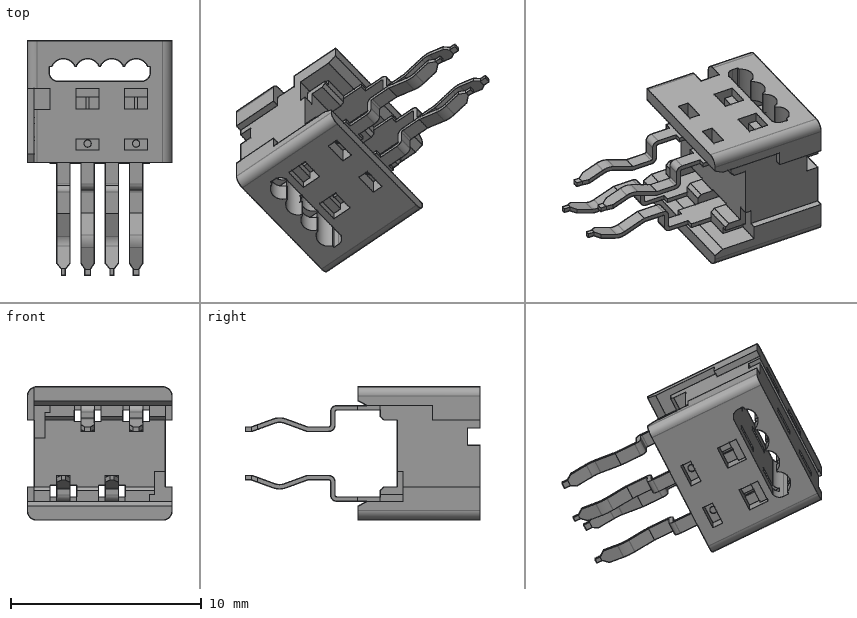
import cadquery as cq
import math


WIDTH = 7.59
HEIGHT = 7.0
HOUSING_DEPTH = 6.4
CORNER_RADIUS = 0.5
CORE_WIDTH = 6.88
CORE_DEPTH = 4.35
PLATE_THICKNESS = 0.99
PLATE_BEVEL_DEPTH = 0.47
PLATE_BEVEL_HEIGHT = 0.25
SKIRT_DEPTH = 2.5
SKIRT_HEIGHT = 0.76
LEDGE_DEPTH = 5.235
LEDGE_CHAMFER = 0.19

HALF_WIDTH = WIDTH / 2
HALF_CORE = CORE_WIDTH / 2
HALF_HEIGHT = HEIGHT / 2
PLATE_INNER_Z = HALF_HEIGHT - PLATE_THICKNESS
LEDGE_Z = PLATE_INNER_Z - SKIRT_HEIGHT

NOTCH_END_DEPTH = 3.6
NOTCH_INNER_X = -2.6
GROOVE_DEPTH = 0.66
GROOVE_BOTTOM_Z = 0.44
GROOVE_TOP_Z = 1.33

RECESS_DEPTH = 4.04
RECESS_WIDE = 0.84
RECESS_NARROW = 0.57
RECESS_STEP_Z = 2.14
UPPER_RECESS_END_Z = 0.8
LOWER_RECESS_END_Z = 0.94

PITCH = 1.27
CONTACT_COUNT = 4
OPENING_WIDTH = 5.29
OPENING_NEAR_DEPTH = 1.37
OPENING_FAR_DEPTH = 2.125
OPENING_CORNER_RADIUS = 0.45
WIRE_RADIUS = 0.65
WIRE_DEPTH = 1.605

UPPER_ROW_X = (-PITCH / 2, 1.5 * PITCH)
CHANNEL_WIDTH = 1.39
CHANNEL_BOTTOM_Z = 1.675
WINDOW_WIDTH = 1.21
REAR_WINDOW_START = 2.5
REAR_WINDOW_STEP = 2.96
REAR_WINDOW_END = 3.59
REAR_WINDOW_FLOOR_Z = 3.0
FRONT_WINDOW_START = 5.16
FRONT_WINDOW_END = 5.735

METAL = 0.24
BLADE_START = 2.5
BLADE_END = 6.43
FORK_SLIT_WIDTH = 0.15
FORK_SLIT_END = REAR_WINDOW_END
DIMPLE_RADIUS = 0.19
DIMPLE_CENTRE = 5.4
DIMPLE_SINK = 0.1
LEG_WIDTH = 0.7
KNEE_DEPTH = 7.72
KNEE_RADIUS = 0.21
FOOT_Z = PITCH
CREST_START = 9.05
CREST_DEPTH = 10.51
CREST_ANGLE = 20.0
CREST_RADIUS = 0.84
TAPER_START = 11.67
TAPER_END = 2 * CREST_DEPTH - CREST_START
TIP_DEPTH = 12.3
UPPER_TIP_WIDTH = 0.32
LOWER_TIP_WIDTH = 0.22


def block(x_range, depth_range, z_range):
    """Box between two X values, two depths from the rear face and two Z values."""
    size = [abs(b - a) for a, b in (x_range, depth_range, z_range)]
    centre_x, centre_depth, centre_z = [(a + b) / 2 for a, b in (x_range, depth_range, z_range)]
    return cq.Workplane("XY").box(*size).translate((centre_x, -centre_depth, centre_z))


def side_profile(points, width):
    """Outline of (depth, z) points, extruded symmetrically across X."""
    outline = [(-depth, z) for depth, z in points]
    return cq.Workplane("YZ").polyline(outline).close().extrude(width / 2, both=True)


def half_turn(shape):
    """Copy turned by 180 degrees about the Y axis, from the upper to the lower row."""
    return shape.rotate((0, 0, 0), (0, 1, 0), 180)


def plate_with_skirts_and_ledge():
    plate = side_profile(
        [
            (0, HALF_HEIGHT),
            (HOUSING_DEPTH, HALF_HEIGHT),
            (HOUSING_DEPTH, PLATE_INNER_Z + PLATE_BEVEL_HEIGHT),
            (HOUSING_DEPTH - PLATE_BEVEL_DEPTH, PLATE_INNER_Z),
            (0, PLATE_INNER_Z),
        ],
        WIDTH,
    )
    skirts = block((-HALF_WIDTH, HALF_WIDTH), (0, SKIRT_DEPTH), (LEDGE_Z, PLATE_INNER_Z))
    ledge = side_profile(
        [
            (0, PLATE_INNER_Z),
            (LEDGE_DEPTH, PLATE_INNER_Z),
            (LEDGE_DEPTH, LEDGE_Z + LEDGE_CHAMFER),
            (LEDGE_DEPTH - LEDGE_CHAMFER, LEDGE_Z),
            (0, LEDGE_Z),
        ],
        CORE_WIDTH,
    )
    return plate.union(skirts).union(ledge)


def corner_recess(end_z):
    """Stepped recess at the -X end of the upper row, open to the front and reaching down to end_z."""
    depths = (RECESS_DEPTH, LEDGE_DEPTH)
    wide = block((-HALF_CORE, RECESS_WIDE - HALF_CORE), depths, (RECESS_STEP_Z, PLATE_INNER_Z))
    narrow = block((-HALF_CORE, RECESS_NARROW - HALF_CORE), depths, (end_z, RECESS_STEP_Z))
    return wide.union(narrow)


def keying_cut():
    """Notch in the upper plate at -X, and the flush side in front of the skirt."""
    notch = block((-HALF_WIDTH, NOTCH_INNER_X), (SKIRT_DEPTH, NOTCH_END_DEPTH), (PLATE_INNER_Z, HALF_HEIGHT))
    flush_side = block((-HALF_WIDTH, -HALF_CORE), (SKIRT_DEPTH, HOUSING_DEPTH), (LEDGE_Z, HALF_HEIGHT))
    return notch.union(flush_side)


def wire_opening():
    """Through opening: a bar with two rounded corners and one round bay per wire."""
    opening = (
        block(
            (-OPENING_WIDTH / 2, OPENING_WIDTH / 2),
            (OPENING_NEAR_DEPTH, OPENING_FAR_DEPTH),
            (-HALF_HEIGHT, HALF_HEIGHT),
        )
        .edges("|Z and <Y")
        .fillet(OPENING_CORNER_RADIUS)
    )
    for i in range(CONTACT_COUNT):
        x = (i - (CONTACT_COUNT - 1) / 2) * PITCH
        bay = cq.Workplane("XY").center(x, -WIRE_DEPTH).circle(WIRE_RADIUS)
        opening = opening.union(bay.extrude(HALF_HEIGHT, both=True))
    beyond = block(
        (-HALF_WIDTH, HALF_WIDTH),
        (OPENING_FAR_DEPTH, WIRE_DEPTH + 2 * WIRE_RADIUS),
        (-HALF_HEIGHT, HALF_HEIGHT),
    )
    return opening.cut(beyond)


def contact_cavity(x):
    """Channel of one upper contact with the two windows above it."""
    channel_x = (x - CHANNEL_WIDTH / 2, x + CHANNEL_WIDTH / 2)
    window_x = (x - WINDOW_WIDTH / 2, x + WINDOW_WIDTH / 2)
    window_z = (PLATE_INNER_Z, HALF_HEIGHT)
    channel = block(channel_x, (0, LEDGE_DEPTH), (CHANNEL_BOTTOM_Z, PLATE_INNER_Z - METAL))
    blade_seat = block(channel_x, (BLADE_START, LEDGE_DEPTH), (PLATE_INNER_Z - METAL, PLATE_INNER_Z))
    shelf = block(window_x, (REAR_WINDOW_START, REAR_WINDOW_STEP), (REAR_WINDOW_FLOOR_Z, HALF_HEIGHT))
    rear_window = block(window_x, (REAR_WINDOW_STEP, REAR_WINDOW_END), window_z)
    front_window = block(window_x, (FRONT_WINDOW_START, FRONT_WINDOW_END), window_z)
    return channel.union(blade_seat).union(shelf).union(rear_window).union(front_window)


def make_housing():
    envelope = (
        cq.Workplane("XZ").rect(WIDTH, HEIGHT).extrude(HOUSING_DEPTH).edges("|Y").fillet(CORNER_RADIUS)
    )
    core = block((-HALF_CORE, HALF_CORE), (0, CORE_DEPTH), (-PLATE_INNER_Z, PLATE_INNER_Z))
    jaw = plate_with_skirts_and_ledge()
    long_skirt = block((HALF_CORE, HALF_WIDTH), (0, RECESS_DEPTH), (-PLATE_INNER_Z, -LEDGE_Z))
    housing = core.union(jaw).union(half_turn(jaw)).union(long_skirt).intersect(envelope)

    groove = block((-HALF_WIDTH, HALF_WIDTH), (0, GROOVE_DEPTH), (GROOVE_BOTTOM_Z, GROOVE_TOP_Z))
    housing = housing.cut(groove).cut(keying_cut()).cut(wire_opening())

    housing = housing.cut(corner_recess(UPPER_RECESS_END_Z))
    housing = housing.cut(half_turn(corner_recess(LOWER_RECESS_END_Z)))
    for x in UPPER_ROW_X:
        cavity = contact_cavity(x)
        housing = housing.cut(cavity).cut(half_turn(cavity))
    return housing


def leg_strip():
    """Bent strip in side view: blade plane, knee, foot and crest, at full leg width."""
    middle_z = PLATE_INNER_Z - METAL / 2
    angle = math.radians(CREST_ANGLE)
    rise = (CREST_DEPTH - CREST_START) * math.tan(angle)
    arc_centre_z = FOOT_Z + rise - CREST_RADIUS / math.cos(angle)
    arc_half_depth = CREST_RADIUS * math.sin(angle)
    arc_end_z = arc_centre_z + CREST_RADIUS * math.cos(angle)
    bend = KNEE_RADIUS * (1 - math.sqrt(0.5))

    centre_line = (
        cq.Workplane("YZ")
        .moveTo(-BLADE_END, middle_z)
        .lineTo(-(KNEE_DEPTH - KNEE_RADIUS), middle_z)
        .threePointArc(
            (-(KNEE_DEPTH - bend), middle_z - bend),
            (-KNEE_DEPTH, middle_z - KNEE_RADIUS),
        )
        .lineTo(-KNEE_DEPTH, FOOT_Z + KNEE_RADIUS)
        .threePointArc(
            (-(KNEE_DEPTH + bend), FOOT_Z + bend),
            (-(KNEE_DEPTH + KNEE_RADIUS), FOOT_Z),
        )
        .lineTo(-CREST_START, FOOT_Z)
        .lineTo(-(CREST_DEPTH - arc_half_depth), arc_end_z)
        .threePointArc(
            (-CREST_DEPTH, arc_centre_z + CREST_RADIUS),
            (-(CREST_DEPTH + arc_half_depth), arc_end_z),
        )
        .lineTo(-TAPER_END, FOOT_Z)
        .lineTo(-TIP_DEPTH, FOOT_Z)
    )
    start = cq.Workplane("XZ", origin=(0, -BLADE_END, middle_z)).rect(LEG_WIDTH, METAL)
    return start.sweep(centre_line, transition="right")


def leg_outline(tip_width):
    """Plan outline of the leg with its tapered tip, as a tall prism for trimming."""
    half_leg = LEG_WIDTH / 2
    half_tip = tip_width / 2
    return (
        cq.Workplane("XY")
        .polyline(
            [
                (-half_leg, -BLADE_END),
                (-half_leg, -TAPER_START),
                (-half_tip, -TAPER_END),
                (-half_tip, -TIP_DEPTH),
                (half_tip, -TIP_DEPTH),
                (half_tip, -TAPER_END),
                (half_leg, -TAPER_START),
                (half_leg, -BLADE_END),
            ]
        )
        .close()
        .extrude(HALF_HEIGHT)
    )


def make_contact(tip_width):
    """Upper contact centred on X = 0: forked blade with a dimple, and a bent leg."""
    half_blade = CHANNEL_WIDTH / 2
    half_slit = FORK_SLIT_WIDTH / 2
    blade_z = (PLATE_INNER_Z - METAL, PLATE_INNER_Z)
    blade = block((-half_blade, half_blade), (BLADE_START, BLADE_END), blade_z)
    slit = block((-half_slit, half_slit), (BLADE_START, FORK_SLIT_END), blade_z)
    dimple = (
        cq.Workplane("XY", origin=(0, -DIMPLE_CENTRE, PLATE_INNER_Z - DIMPLE_SINK))
        .circle(DIMPLE_RADIUS)
        .extrude(DIMPLE_SINK)
    )
    leg = leg_strip().intersect(leg_outline(tip_width))
    return blade.cut(slit).cut(dimple).union(leg)


result = make_housing()
upper_contact = make_contact(UPPER_TIP_WIDTH)
lower_contact = make_contact(LOWER_TIP_WIDTH)
for row_x in UPPER_ROW_X:
    result = result.union(upper_contact.translate((row_x, 0, 0)))
    result = result.union(half_turn(lower_contact.translate((row_x, 0, 0))))